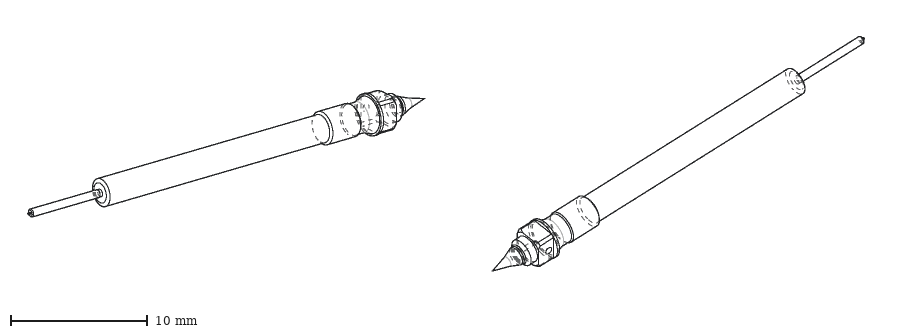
import cadquery as cq

length = 36.3

point_cone_end = 1.5
point_cone_radius = 0.4
head_cone_end = 2.32
head_radius = 0.73
head_back = 2.5
neck_radius = 0.5
neck_end = 2.6

nose_front_radius = 0.8
nose_chamfer_end = 2.85
body_radius = 1.07

block_front = 3.5
block_radius = 1.55
block_width = 2.32
block_height = 2.5
block_chamfer = 0.18
dimple_diameter = 0.58
dimple_depth = 0.2
dimple_station = 4.5

flange_front = 4.97
flange_thickness = 0.2
flange_radius = 1.6
flare_radius = 1.4
flare_end = 5.95
groove_radius = 1.18

ring_front = 6.7
ring_back = 9.5
ring_radius = 1.27
ring_chamfer = 0.1
ring_back_chamfer = 0.15
barrel_end = 29.62
barrel_chamfer_length = 0.1
barrel_end_radius = 0.75

pin_shoulder_radius = 0.3
pin_front = 29.95
pin_radius = 0.31
nub_length = 0.18
nub_radius = 0.07
pin_back = length - nub_length
pin_chamfer = 0.07


def make_turned_body():
    """Revolve the half profile (radius, -station) about the Y axis."""
    profile = [
        (0, 0),
        (point_cone_radius, point_cone_end),
        (head_radius, head_cone_end),
        (head_radius, head_back),
        (neck_radius, head_back),
        (neck_radius, neck_end),
        (nose_front_radius, neck_end),
        (body_radius, nose_chamfer_end),
        (body_radius, flange_front),
        (flange_radius, flange_front),
        (flange_radius, flange_front + flange_thickness),
        (flare_radius, flange_front + flange_thickness),
        (groove_radius, flare_end),
        (groove_radius, ring_front),
        (ring_radius, ring_front + ring_chamfer),
        (ring_radius, ring_back - ring_back_chamfer),
        (body_radius, ring_back),
        (body_radius, barrel_end),
        (barrel_end_radius, barrel_end + barrel_chamfer_length),
        (pin_shoulder_radius, barrel_end + barrel_chamfer_length),
        (pin_shoulder_radius, pin_front),
        (pin_radius, pin_front),
        (pin_radius, pin_back - pin_chamfer),
        (pin_radius - pin_chamfer, pin_back),
        (nub_radius, pin_back),
        (nub_radius, length),
        (0, length),
    ]
    points = [(radius, -station) for radius, station in profile]
    return cq.Workplane("XY").polyline(points).close().revolve(360, (0, 0, 0), (0, 1, 0))


def make_wrench_block():
    """Round collar, chamfered in front and trimmed by four flats."""
    block_length = flange_front - block_front
    collar = (
        cq.Workplane("XZ", origin=(0, -block_front, 0))
        .circle(block_radius)
        .extrude(block_length)
        .faces(">Y")
        .chamfer(block_chamfer)
    )
    flats = (
        cq.Workplane("XZ", origin=(0, -block_front, 0))
        .rect(block_width, block_height)
        .extrude(block_length)
    )
    return collar.intersect(flats)


def make_dimple():
    """Conical dimple in the -X flat of the wrench block."""
    mouth = cq.Vector(-block_width / 2, -dimple_station, 0)
    inward = cq.Vector(1, 0, 0)
    return cq.Workplane(cq.Solid.makeCone(dimple_diameter / 2, 0, dimple_depth, mouth, inward))


result = make_turned_body().union(make_wrench_block()).cut(make_dimple())